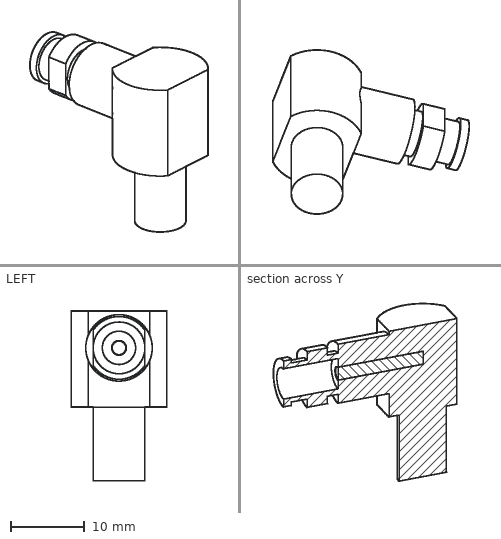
import cadquery as cq


overall_length = 25.5
block_diameter = 12.98
block_width = 10.0
block_height = 13.0
block_top_z = block_width / 2
block_bottom_z = block_top_z - block_height

stem_diameter = 6.99
stem_length = 10.0

flange_diameter = 7.0
flange_end = 1.2
front_neck_diameter = 6.0
front_neck_end = 3.47
collar_diameter = 8.5
collar_flat_width = flange_diameter
collar_end = 6.5
rear_neck_diameter = 6.3
rear_neck_end = 8.0
barrel_diameter = 9.0
mating_face_x = block_width / 2 - overall_length

socket_diameter = 4.51
socket_depth = rear_neck_end
pin_diameter = 1.85
pin_hole_chamfer = 0.065
pin_front = socket_depth + pin_hole_chamfer
pin_end = -mating_face_x


def rod_along_x(diameter, start, end):
    """Cylinder on the connector axis between two distances from the mating face."""
    return (
        cq.Workplane("YZ", origin=(mating_face_x + start, 0, 0))
        .circle(diameter / 2)
        .extrude(end - start)
    )


def make_block():
    column = (
        cq.Workplane("XY", origin=(0, 0, block_bottom_z))
        .circle(block_diameter / 2)
        .extrude(block_height)
    )
    flats = (
        cq.Workplane("XY", origin=(0, 0, block_bottom_z))
        .rect(block_width, block_diameter)
        .extrude(block_height)
    )
    return column.intersect(flats)


def make_stem():
    return (
        cq.Workplane("XY", origin=(0, 0, block_bottom_z))
        .circle(stem_diameter / 2)
        .extrude(-stem_length)
    )


def make_collar():
    """Round collar with a pair of wrench flats facing -Y and +Y."""
    collar = rod_along_x(collar_diameter, front_neck_end, collar_end)
    flats = (
        cq.Workplane("YZ", origin=(mating_face_x + front_neck_end, 0, 0))
        .rect(collar_flat_width, collar_diameter)
        .extrude(collar_end - front_neck_end)
    )
    return collar.intersect(flats)


def make_pin_hole():
    """Hole that fits the pin, with a chamfered mouth at the socket floor."""
    hole = rod_along_x(pin_diameter, socket_depth, pin_end)
    mouth = (
        cq.Workplane("YZ", origin=(mating_face_x + socket_depth, 0, 0))
        .circle(pin_diameter / 2 + pin_hole_chamfer)
        .workplane(offset=pin_hole_chamfer)
        .circle(pin_diameter / 2)
        .loft(ruled=True)
    )
    return hole.union(mouth)


def make_housing():
    return (
        make_block()
        .union(make_stem())
        .union(rod_along_x(flange_diameter, 0, flange_end))
        .union(rod_along_x(front_neck_diameter, flange_end, front_neck_end))
        .union(make_collar())
        .union(rod_along_x(rear_neck_diameter, collar_end, rear_neck_end))
        .union(rod_along_x(barrel_diameter, rear_neck_end, -mating_face_x))
        .cut(rod_along_x(socket_diameter, 0, socket_depth))
        .cut(make_pin_hole())
    )


def make_contact_pin():
    return rod_along_x(pin_diameter, pin_front, pin_end)


housing = make_housing().solids()
contact_pin = make_contact_pin()

result = cq.Compound.makeCompound([housing.val(), contact_pin.val()])